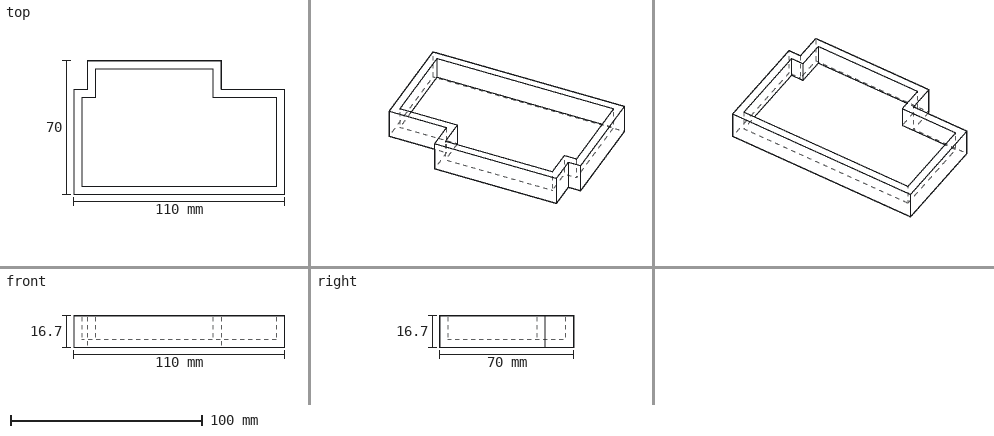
import cadquery as cq

length = 110.0
width = 70.0
height = 16.7
wall = 4.3
floor = 4.3

back_offset = 7.0
back_length = 70.0
back_depth = 15.0


def stepped_block(inset, block_height):
    """Extrude the stepped outline, moved inward by the inset on every side."""
    left = inset
    right = length - inset
    front = inset
    shoulder = width - back_depth - inset
    back = width - inset
    back_left = back_offset + inset
    back_right = back_offset + back_length - inset
    outline = [
        (left, front),
        (right, front),
        (right, shoulder),
        (back_right, shoulder),
        (back_right, back),
        (back_left, back),
        (back_left, shoulder),
        (left, shoulder),
    ]
    return cq.Workplane("XY").polyline(outline).close().extrude(block_height)


body = stepped_block(0, height)
pocket = stepped_block(wall, height - floor).translate((0, 0, floor))
result = body.cut(pocket)